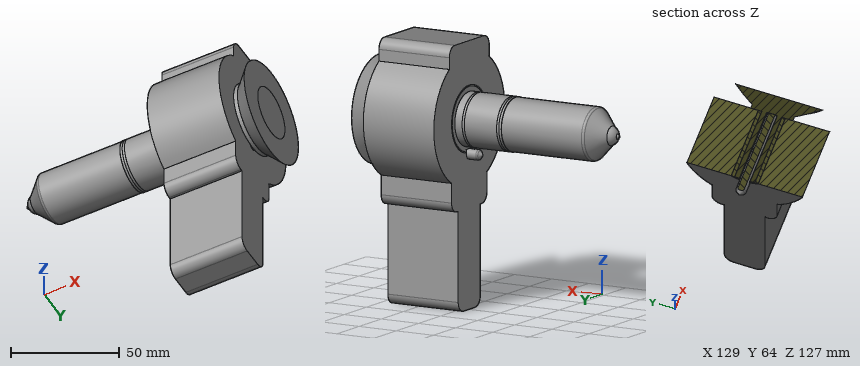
import cadquery as cq
import math


HOUSING_LENGTH = 38.0
HOUSING_RADIUS = 32.0
TOP_LUG_WIDTH = 36.0
TOP_LUG_Z = 37.0
SHOULDER_WIDTH = 32.0
SHOULDER_Z = -42.0
HANDLE_WIDTH = 20.0
HANDLE_Z = -90.0
CORNER_RADIUS = 5.0

LINER_RADIUS = 16.0
BUSHING_RADIUS = 15.4
COLLAR_RADIUS = 18.0
COLLAR_LENGTH = 2.0
FLARE_LENGTH = 8.0
FLARE_RADIUS = COLLAR_RADIUS + FLARE_LENGTH
COLLAR_END_X = HOUSING_LENGTH + COLLAR_LENGTH
BACK_X = COLLAR_END_X + FLARE_LENGTH

SEAT_RADIUS = 13.0
SEAT_FRONT_X = -25.0
SHAFT_RADIUS = 12.8
CONE_FRONT_X = -77.0
CONE_FILLET = 1.8

RING_WIDTH = 1.2
RING_DEPTH = 1.0
RING_FRONT_XS = (-23.7, -5.1)

BALL_RADIUS = 5.0
BALL_CENTER_X = -75.2
RIM_RADIUS = math.sqrt(BALL_RADIUS**2 - (BALL_CENTER_X - CONE_FRONT_X) ** 2)
CONE_BASE_X = CONE_FRONT_X + SHAFT_RADIUS - RIM_RADIUS
POINT_X = -81.0
POINT_BASE_RADIUS = 1.3
POINT_END_RADIUS = 0.5

KEY_RADIUS = 2.5
KEY_Z = -16.5
KEYWAY_ROOF_Z = KEY_Z + KEY_RADIUS
KEY_POINT_X = -7.5
KEY_CONE_BASE_X = -5.5
KEY_FILLET = 1.0

PICK_MARGIN = 0.1


def ball_x(radius):
    """X of the front of the ball at a distance from the axis."""
    return BALL_CENTER_X - math.sqrt(BALL_RADIUS**2 - radius**2)


def cylinder_x(radius, start_x, end_x, z=0.0):
    """Cylinder along X whose axis lies at a height z."""
    return cq.Workplane("YZ", origin=(start_x, 0, z)).circle(radius).extrude(end_x - start_x)


def revolve_x(profile):
    """Turn a profile of (x, radius) about the X axis."""
    return profile.close().revolve(360, (0, 0, 0), (1, 0, 0))


def circle_at_x(x):
    """Selector for the edges that lie in the plane at x."""
    return cq.selectors.BoxSelector(
        (x - PICK_MARGIN, -HOUSING_RADIUS, -HOUSING_RADIUS),
        (x + PICK_MARGIN, HOUSING_RADIUS, HOUSING_RADIUS),
        boundingbox=True,
    )


def block(width, bottom_z, top_z):
    """Block as long as the housing and centred on Y = 0."""
    return cq.Workplane("XY").box(
        HOUSING_LENGTH, width, top_z - bottom_z, centered=(False, True, False)
    ).translate((0, 0, bottom_z))


def make_keyway():
    """Round-bottomed, flat-roofed channel along the housing."""
    channel = block(2 * KEY_RADIUS, KEY_Z, KEYWAY_ROOF_Z)
    return channel.union(cylinder_x(KEY_RADIUS, 0, HOUSING_LENGTH, KEY_Z))


def make_housing(keyway):
    top_lug = block(TOP_LUG_WIDTH, 0, TOP_LUG_Z).edges("|X and >Z").fillet(CORNER_RADIUS)
    shoulder = block(SHOULDER_WIDTH, SHOULDER_Z, 0).edges("|X and <Z").fillet(CORNER_RADIUS)
    handle = block(HANDLE_WIDTH, HANDLE_Z, 0).edges("|X and <Z").fillet(CORNER_RADIUS)
    body = cylinder_x(HOUSING_RADIUS, 0, HOUSING_LENGTH).union(top_lug).union(shoulder).union(handle)
    return body.cut(cylinder_x(LINER_RADIUS, 0, HOUSING_LENGTH)).cut(keyway)


def make_liner(keyway):
    tube = cylinder_x(LINER_RADIUS, 0, HOUSING_LENGTH)
    return tube.cut(cylinder_x(BUSHING_RADIUS, 0, HOUSING_LENGTH)).cut(keyway)


def make_bushing(keyway):
    profile = (
        cq.Workplane("XY")
        .moveTo(0, SEAT_RADIUS)
        .lineTo(0, BUSHING_RADIUS)
        .lineTo(HOUSING_LENGTH, BUSHING_RADIUS)
        .lineTo(HOUSING_LENGTH, COLLAR_RADIUS)
        .lineTo(COLLAR_END_X, COLLAR_RADIUS)
        .lineTo(BACK_X, FLARE_RADIUS)
        .lineTo(BACK_X, SEAT_RADIUS)
    )
    return revolve_x(profile).cut(keyway)


def make_rings():
    rings = []
    for front_x in RING_FRONT_XS:
        back_x = front_x + RING_WIDTH
        disc = cylinder_x(SEAT_RADIUS, front_x, back_x)
        rings.append(disc.cut(cylinder_x(SEAT_RADIUS - RING_DEPTH, front_x, back_x)))
    return rings


def make_shaft(rings):
    nose_profile = (
        cq.Workplane("XY")
        .moveTo(CONE_FRONT_X, 0)
        .lineTo(CONE_FRONT_X, RIM_RADIUS)
        .lineTo(CONE_BASE_X, SHAFT_RADIUS)
        .lineTo(SEAT_FRONT_X, SHAFT_RADIUS)
        .lineTo(SEAT_FRONT_X, 0)
    )
    nose = revolve_x(nose_profile).edges(circle_at_x(CONE_BASE_X)).fillet(CONE_FILLET)
    shaft = nose.union(cylinder_x(SEAT_RADIUS, SEAT_FRONT_X, BACK_X))
    for ring in rings:
        shaft = shaft.cut(ring)
    return shaft


def make_tip():
    middle_radius = (POINT_BASE_RADIUS + RIM_RADIUS) / 2
    profile = (
        cq.Workplane("XY")
        .moveTo(POINT_X, 0)
        .lineTo(POINT_X, POINT_END_RADIUS)
        .lineTo(ball_x(POINT_BASE_RADIUS), POINT_BASE_RADIUS)
        .threePointArc((ball_x(middle_radius), middle_radius), (CONE_FRONT_X, RIM_RADIUS))
        .lineTo(CONE_FRONT_X, 0)
    )
    return revolve_x(profile)


def make_key_pin():
    profile = (
        cq.Workplane("XY")
        .moveTo(KEY_POINT_X, 0)
        .lineTo(KEY_CONE_BASE_X, KEY_RADIUS)
        .lineTo(HOUSING_LENGTH, KEY_RADIUS)
        .lineTo(HOUSING_LENGTH, 0)
    )
    pin = revolve_x(profile).edges(circle_at_x(KEY_CONE_BASE_X)).fillet(KEY_FILLET)
    return pin.translate((0, 0, KEY_Z))


keyway = make_keyway()
housing = make_housing(keyway)
liner = make_liner(keyway)
bushing = make_bushing(keyway)
rings = make_rings()
shaft = make_shaft(rings)
tip = make_tip()
key_pin = make_key_pin()

result = cq.Compound.makeCompound([
    housing.val(),
    liner.val(),
    bushing.val(),
    shaft.val(),
    *[ring.val() for ring in rings],
    tip.val(),
    key_pin.val(),
])